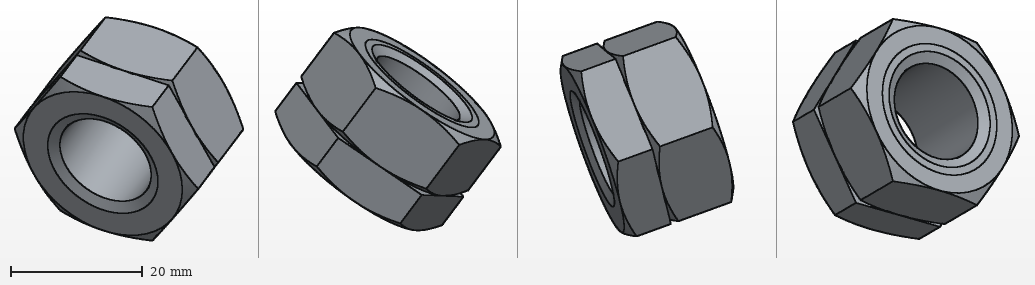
import cadquery as cq
import math

across_corners = 31.18
face_diameter = 26.97
chamfer_angle = 30.0
bore_diameter = 15.5
countersink_diameter = 18.7
countersink_angle = 60.0
sleeve_diameter = 21.2

total_length = 17.8
thin_length = 6.8
thick_length = total_length - thin_length
front_y = -total_length / 2
joint_y = front_y + thin_length
back_y = total_length / 2

chamfer_depth = (across_corners - face_diameter) / 2 * math.tan(math.radians(chamfer_angle))
countersink_depth = (countersink_diameter - bore_diameter) / 2 / math.tan(math.radians(countersink_angle))


def revolve_profile(points):
    """Revolve a closed (radius, y) profile about the Y axis."""
    return cq.Workplane("XY").polyline(points).close().revolve(360, (0, 0), (0, 1))


def hexagon_with_hole(start_y, length, hole_diameter):
    """Hexagonal prism with corners on the X axis and a round hole through it."""
    return (
        cq.Workplane("XZ", origin=(0, start_y, 0))
        .polygon(6, across_corners)
        .circle(hole_diameter / 2)
        .extrude(-length)
    )


def make_sleeve():
    """Tube from the joint to the back face, carrying the bore through the thick nut."""
    return (
        cq.Workplane("XZ", origin=(0, joint_y, 0))
        .circle(sleeve_diameter / 2)
        .circle(bore_diameter / 2)
        .extrude(-thick_length)
    )


def chamfer_corners(nut, face_y, inward):
    """Cone off the hexagon corners at an end face; inward is the Y sense into the nut."""
    corner_radius = across_corners / 2
    clearance = 0.3
    cutter = revolve_profile([
        (face_diameter / 2, face_y),
        (corner_radius, face_y + inward * chamfer_depth),
        (corner_radius + clearance, face_y + inward * chamfer_depth),
        (corner_radius + clearance, face_y),
    ])
    return nut.cut(cutter)


def countersink_bore(nut, face_y, inward):
    """Open the bore with a cone at an end face; inward is the Y sense into the nut."""
    cutter = revolve_profile([
        (0, face_y),
        (countersink_diameter / 2, face_y),
        (bore_diameter / 2, face_y + inward * countersink_depth),
        (0, face_y + inward * countersink_depth),
    ])
    return nut.cut(cutter)


def make_thin_nut():
    """Thin hexagon chamfered in front, with a sleeve behind it and the bore countersunk at both ends."""
    nut = hexagon_with_hole(front_y, thin_length, bore_diameter)
    nut = chamfer_corners(nut, front_y, 1)
    nut = nut.union(make_sleeve())
    nut = countersink_bore(nut, front_y, 1)
    return countersink_bore(nut, back_y, -1)


def make_thick_nut():
    """Thick hexagon chamfered at both ends, with a plain hole that takes the sleeve."""
    nut = hexagon_with_hole(joint_y, thick_length, sleeve_diameter)
    nut = chamfer_corners(nut, joint_y, 1)
    return chamfer_corners(nut, back_y, -1)


thin_nut = make_thin_nut()
thick_nut = make_thick_nut()

result = cq.Compound.makeCompound([thin_nut.val(), thick_nut.val()])